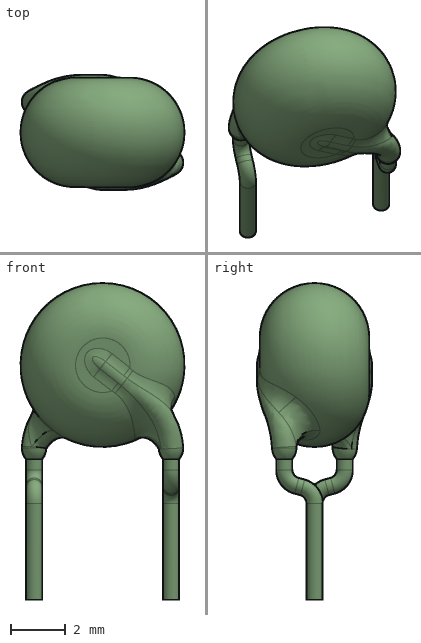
import cadquery as cq
import math


total_height = 11.58
body_radius = 3.0
edge_radius = 2.0
half_thickness = edge_radius
face_radius = body_radius - edge_radius
body_z = total_height - body_radius

wire_radius = 0.3
lead_pitch = 5.0
lead_x = lead_pitch / 2
kink_start_z = 3.53
kink_radius = 0.6
kink_angle = math.radians(75)
kink_straight = 0.22
kink_offset = 2 * kink_radius * (1 - math.cos(kink_angle)) + kink_straight * math.sin(kink_angle)
kink_rise = 2 * kink_radius * math.sin(kink_angle) + kink_straight * math.cos(kink_angle)

coat_radius = 0.45
coat_height_on_face = 0.1
coat_y = half_thickness + coat_height_on_face - coat_radius
coat_slope = math.radians(38)
coat_straight = 1.0
coat_dive_radius = 1.2
coat_dive_angle = math.radians(60)
coat_blend_radius = 1.0
coat_bend_x = 2.15
coat_bend_y = -1.3
coat_bend_z = 6.64
coat_lean = 0.08
collar_bottom_z = 5.14
collar_top_z = 5.56
collar_height = collar_top_z - collar_bottom_z
collar_step = coat_radius - wire_radius
collar_arc_radius = (collar_step ** 2 + collar_height ** 2) / (2 * collar_step)


def make_body():
    """Disc with a flat on each face and a half-round rim, turned about the Y axis."""
    return (
        cq.Workplane("YZ", origin=(0, 0, body_z))
        .moveTo(-half_thickness, 0)
        .lineTo(-half_thickness, face_radius)
        .threePointArc((0, body_radius), (half_thickness, face_radius))
        .lineTo(half_thickness, 0)
        .close()
        .revolve(360, (0, 0, 0), (1, 0, 0))
    )


def make_wire():
    """Round wire of the front lead: straight leg, S-shaped kink towards -Y, short upper leg."""
    half_sine = math.sin(kink_angle / 2)
    half_cosine = math.cos(kink_angle / 2)
    arc_step = kink_radius * (1 - math.cos(kink_angle))
    arc_rise = kink_radius * math.sin(kink_angle)
    half_step = kink_radius * (1 - half_cosine)
    half_rise = kink_radius * half_sine
    kink_end_z = kink_start_z + kink_rise
    path = (
        cq.Workplane("YZ", origin=(lead_x, 0, 0))
        .moveTo(0, 0)
        .lineTo(0, kink_start_z)
        .threePointArc((-half_step, kink_start_z + half_rise), (-arc_step, kink_start_z + arc_rise))
        .lineTo(arc_step - kink_offset, kink_end_z - arc_rise)
        .threePointArc((half_step - kink_offset, kink_end_z - half_rise), (-kink_offset, kink_end_z))
        .lineTo(-kink_offset, collar_top_z)
    )
    return cq.Workplane("XY", origin=(lead_x, 0, 0)).circle(wire_radius).sweep(path)


def make_collar():
    """Rounded lower end of the coating; its domed top fills the joint with the leaning tube."""
    return (
        cq.Workplane("XZ", origin=(lead_x, -kink_offset, 0))
        .moveTo(0, collar_bottom_z)
        .lineTo(wire_radius, collar_bottom_z)
        .radiusArc((coat_radius, collar_top_z), -collar_arc_radius)
        .radiusArc((0, collar_top_z + coat_radius), -coat_radius)
        .close()
        .revolve(360, (0, 0, 0), (0, 1, 0))
    )


def make_coat():
    """Coating tube: rises from the collar, crosses the front face and dives into the body."""
    run = cq.Vector(-math.cos(coat_slope), 0, math.sin(coat_slope))
    inward = cq.Vector(0, 1, 0)
    centre = cq.Vector(0, -coat_y, body_z)
    straight_start = centre - run * coat_straight
    bend = cq.Vector(coat_bend_x, coat_bend_y, coat_bend_z)
    upward = cq.Vector(-coat_lean, -coat_lean, 1)
    collar = cq.Vector(lead_x, -kink_offset, collar_top_z)

    def dive_point(angle):
        """Point on the arc that leaves the straight stretch and turns into the body."""
        along = run * (coat_dive_radius * math.sin(angle))
        return centre + along + inward * (coat_dive_radius * (1 - math.cos(angle)))

    path = cq.Wire.assembleEdges([
        cq.Edge.makeSpline([collar, bend, straight_start], tangents=[upward, run]),
        cq.Edge.makeLine(straight_start, centre),
        cq.Edge.makeThreePointArc(centre, dive_point(coat_dive_angle / 2), dive_point(coat_dive_angle)),
    ])
    section = cq.Workplane(cq.Plane(collar, normal=upward))
    return section.circle(coat_radius).sweep(cq.Workplane(path))


def half_turn(shape):
    """Copy of a shape turned 180 degrees about the Z axis."""
    return shape.rotate((0, 0, 0), (0, 0, 1), 180)


coat = make_coat()
coated_body = make_body().union(coat).union(half_turn(coat)).edges("%LINE").fillet(coat_blend_radius)

wire = make_collar().union(make_wire())
result = coated_body.union(wire).union(half_turn(wire))